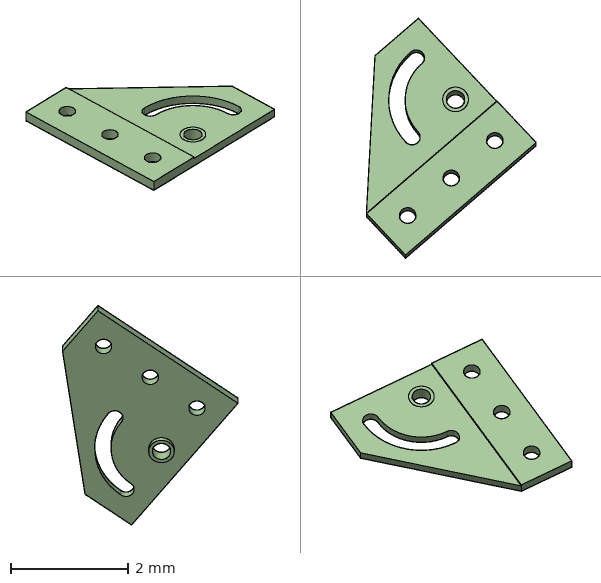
import cadquery as cq
import math

side = 3.0
pitch = side / 3
flange_thickness = 0.185
web_thickness = 0.155
hole_diameter = 0.28
slot_width = 0.28
bushing_outer_diameter = 0.438
bushing_bore_diameter = 0.312
bushing_projection = 0.093

flange_depth = pitch
pivot_x = 2.5 * pitch
pivot_y = 1.5 * pitch
slot_radius = pitch


def make_flange():
    """Thicker straight strip along the front edge."""
    return cq.Workplane("XY").box(side, flange_depth, flange_thickness, centered=False)


def make_web():
    """Thinner plate behind the flange, with its left corner cut off at 45 degrees."""
    outline = [
        (0, flange_depth),
        (side, flange_depth),
        (side, side),
        (side - flange_depth, side),
    ]
    return cq.Workplane("XY").polyline(outline).close().extrude(web_thickness)


def make_flange_holes():
    """Row of through holes, one in the middle of each pitch."""
    centers = [((i + 0.5) * pitch, flange_depth / 2) for i in range(3)]
    return (
        cq.Workplane("XY").pushPoints(centers).circle(hole_diameter / 2).extrude(flange_thickness)
    )


def make_arc_slot():
    """Quarter-circle slot with round ends, centred on the pivot."""
    outer = slot_radius + slot_width / 2
    inner = slot_radius - slot_width / 2
    diagonal = math.sqrt(0.5)
    return (
        cq.Workplane("XY")
        .moveTo(pivot_x - outer, pivot_y)
        .threePointArc(
            (pivot_x - outer * diagonal, pivot_y + outer * diagonal), (pivot_x, pivot_y + outer)
        )
        .threePointArc((pivot_x + slot_width / 2, pivot_y + slot_radius), (pivot_x, pivot_y + inner))
        .threePointArc(
            (pivot_x - inner * diagonal, pivot_y + inner * diagonal), (pivot_x - inner, pivot_y)
        )
        .threePointArc(
            (pivot_x - slot_radius, pivot_y - slot_width / 2), (pivot_x - outer, pivot_y)
        )
        .close()
        .extrude(web_thickness)
    )


def make_bracket():
    """Plate with its holes, arc slot and the seat for the bushing."""
    bushing_seat = (
        cq.Workplane("XY")
        .center(pivot_x, pivot_y)
        .circle(bushing_outer_diameter / 2)
        .extrude(web_thickness)
    )
    plate = make_flange().union(make_web())
    return plate.cut(make_flange_holes()).cut(make_arc_slot()).cut(bushing_seat)


def make_bushing():
    """Pivot bushing, flush with the top of the web and standing out below it."""
    return (
        cq.Workplane("XY", origin=(pivot_x, pivot_y, -bushing_projection))
        .circle(bushing_outer_diameter / 2)
        .circle(bushing_bore_diameter / 2)
        .extrude(bushing_projection + web_thickness)
    )


bracket = make_bracket()
bushing = make_bushing()

result = cq.Compound.makeCompound([bracket.val(), bushing.val()])